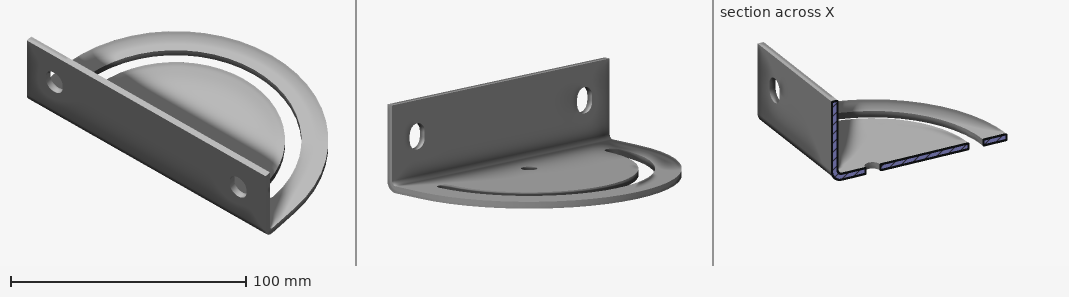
import cadquery as cq

width = 130.0
height = 38.0
thickness = 3.0
inner_bend_radius = 2.0
outer_bend_radius = inner_bend_radius + thickness
plate_radius = width / 2
pivot_to_flange = 20.0

pivot_diameter = 7.0
arc_slot_width = pivot_diameter
arc_slot_radius = 50.0

mount_spacing = 2 * arc_slot_radius
mount_slot_width = 9.0
mount_slot_length = 11.5
mount_slot_height = 22.1


def bent_sheet():
    """Base plate and flange, with the plate's far edge rounded about the pivot."""
    front = -pivot_to_flange
    depth = pivot_to_flange + plate_radius
    base = cq.Workplane("XY").box(width, depth, height, centered=(True, False, False))
    base = base.translate((0, front, 0))
    hollow = cq.Workplane("XY").box(width, depth, height, centered=(True, False, False))
    hollow = hollow.translate((0, front + thickness, thickness))
    hollow = hollow.edges("|X and <Y and <Z").fillet(inner_bend_radius)
    sheet = base.edges("|X and <Y and <Z").fillet(outer_bend_radius).cut(hollow)
    outline = (
        cq.Workplane("XY")
        .moveTo(-plate_radius, front)
        .lineTo(plate_radius, front)
        .lineTo(plate_radius, 0)
        .threePointArc((0, plate_radius), (-plate_radius, 0))
        .close()
        .extrude(height)
    )
    return sheet.intersect(outline)


def arc_slot():
    """Cutter for the half-circle slot with round ends, centred on the pivot."""
    outer = arc_slot_radius + arc_slot_width / 2
    inner = arc_slot_radius - arc_slot_width / 2
    end = arc_slot_width / 2
    return (
        cq.Workplane("XY")
        .moveTo(outer, 0)
        .threePointArc((0, outer), (-outer, 0))
        .threePointArc((-arc_slot_radius, -end), (-inner, 0))
        .threePointArc((0, inner), (inner, 0))
        .threePointArc((arc_slot_radius, -end), (outer, 0))
        .close()
        .extrude(thickness)
    )


def pivot_hole():
    """Cutter for the round hole at the centre of the arc slot."""
    return cq.Workplane("XY").circle(pivot_diameter / 2).extrude(thickness)


def mount_slots():
    """Cutter for the two upright slots through the flange."""
    half_spacing = mount_spacing / 2
    return (
        cq.Workplane("XZ", origin=(0, -pivot_to_flange, 0))
        .pushPoints([(-half_spacing, mount_slot_height), (half_spacing, mount_slot_height)])
        .slot2D(mount_slot_length, mount_slot_width, 90)
        .extrude(-thickness)
    )


result = bent_sheet().cut(arc_slot()).cut(pivot_hole()).cut(mount_slots())